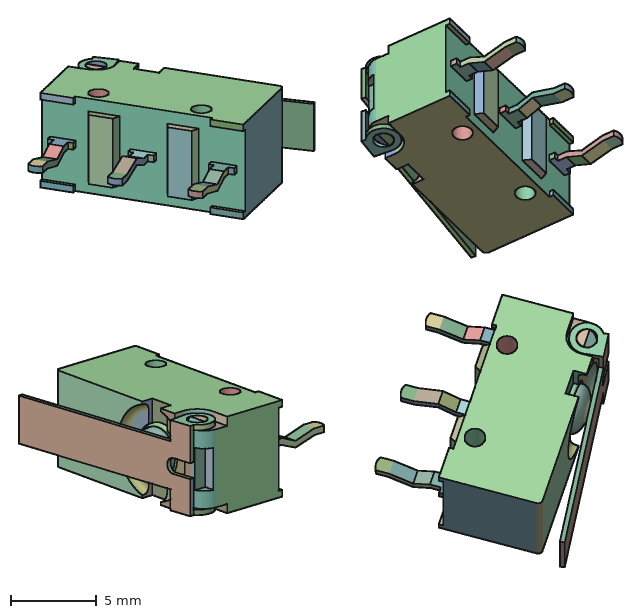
import cadquery as cq
import math


HOUSING_LENGTH = 12.81
HOUSING_TOP = 6.27
HOUSING_WIDTH = 6.0
HALF_WIDTH = HOUSING_WIDTH / 2
LEFT_CORNER_RADIUS = 1.04
RIGHT_CORNER_RADIUS = 0.28
MIDDLE_X = HOUSING_LENGTH / 2

BASE_Y = 0.27
FOOT_LENGTH = 2.08
FOOT_THICKNESS = 0.42

MOUNT_HOLE_RADIUS = 0.6
MOUNT_HOLE_SPACING = 6.49
MOUNT_HOLE_Y = 1.25

RIB_WIDTH = 2.0
RIB_HEIGHT = 0.5
RIB_INSET = 0.25
RIB_LENGTH = 4.38
RIB_SPACING = 4.98

CORNER_POCKET_X = 0.73
CORNER_POCKET_Y = 5.4
CORNER_POCKET_WIDTH = 2.62

TERMINAL_PITCH = 5.08
TERMINAL_THICKNESS = 0.42
SHOULDER_WIDTH = 1.62
SHOULDER_Y = -0.14
STEM_WIDTH = 0.92
STEM_SHIFTS = (0.03, -0.03, -0.03)
BEND_DIRECTIONS = (-1, 1, -1)
KINK_START_Y = -0.77
KINK_PEAK_Y = -1.83
KINK_END_Y = -3.32
KINK_OFFSET = 0.42
KINK_MITRE = 0.03
TIP_CORNER_Y = -4.1
TIP_Y = -4.24

PIVOT_X = 1.27
PIVOT_Y = 5.55
PIVOT_RADIUS = 0.59
PIVOT_SLOPE_DEPTH = 0.3
EAR_RECESS_RADIUS = 1.2
EAR_RECESS_DEPTH = 0.58

LEVER_ANGLE = 5.9
LEVER_END_X = 14.08
LEVER_THICKNESS = 0.3
LEVER_TOP = 1.2
LEVER_BACK = 0.52
LEVER_WIDTH = 5.6
TONGUE_WIDTH = 2.98
EAR_RADIUS = 1.04
EAR_HOLE_RADIUS = 0.62
EAR_THICKNESS = 0.34
SLOT_WIDTH = 0.99
SLOT_END = 1.3

PLUNGER_X = 4.48
FLANGE_RADIUS = 1.69
FLANGE_FILLET = 0.15
FLANGE_TOP = HOUSING_TOP - 0.5
WINDOW_WIDTH = 1.6
WINDOW_FLOOR = HOUSING_TOP - 0.8
DOME_RADIUS = 1.52
DOME_HEIGHT = 0.76
DOME_CENTER_Y = HOUSING_TOP - 0.38
TIP_FOOT_Y = HOUSING_TOP + 0.27
TIP_RADIUS = 0.63
TIP_BASE_Y = HOUSING_TOP + 0.38
TIP_TOP_Y = HOUSING_TOP + 0.5
BOWL_RADIUS = 2.93
BOWL_FILLET = 0.42


def block(x_start, x_end, y_start, y_end, z_start, z_end):
    """Plain box between two opposite corners."""
    size = (x_end - x_start, y_end - y_start, z_end - z_start)
    return cq.Workplane("XY").box(*size, centered=False).translate((x_start, y_start, z_start))


def mirrored(shape):
    """The shape together with its copy on the other side of the middle plane."""
    return shape.union(shape.mirror("XY"))


def y_cylinder(radius, y_start, y_end):
    """Cylinder on the plunger axis."""
    return (
        cq.Workplane("XZ", origin=(PLUNGER_X, y_start, 0))
        .circle(radius)
        .extrude(y_start - y_end)
    )


def housing_body():
    """Main block with its rounded top corners and mounting holes."""
    body = block(0, HOUSING_LENGTH, BASE_Y, HOUSING_TOP, -HALF_WIDTH, HALF_WIDTH)
    body = body.edges("|Z and <X and >Y").fillet(LEFT_CORNER_RADIUS)
    body = body.edges("|Z and >X and >Y").fillet(RIGHT_CORNER_RADIUS)
    for side in (-1, 1):
        hole_x = MIDDLE_X + side * MOUNT_HOLE_SPACING / 2
        hole = cq.Workplane("XY").center(hole_x, MOUNT_HOLE_Y).circle(MOUNT_HOLE_RADIUS)
        body = body.cut(hole.extrude(HALF_WIDTH, both=True))
    return body


def feet():
    """Four low feet in the corners of the underside."""
    inner_z = HALF_WIDTH - FOOT_THICKNESS
    left = block(0, FOOT_LENGTH, 0, BASE_Y, inner_z, HALF_WIDTH)
    right = left.translate((HOUSING_LENGTH - FOOT_LENGTH, 0, 0))
    return mirrored(left.union(right))


def rib(center_x):
    """Bar with sloped sides under the housing."""
    half_base = RIB_WIDTH / 2
    half_tip = half_base - RIB_INSET
    tip_y = BASE_Y - RIB_HEIGHT
    return (
        cq.Workplane("XY")
        .polyline([
            (center_x - half_base, BASE_Y),
            (center_x + half_base, BASE_Y),
            (center_x + half_tip, tip_y),
            (center_x - half_tip, tip_y),
        ])
        .close()
        .extrude(RIB_LENGTH / 2, both=True)
    )


def terminal(shoulder_x, stem_shift, bend):
    """Flat pin with a wide shoulder, a kinked stem and a rounded tip."""
    half_thickness = TERMINAL_THICKNESS / 2
    half_shoulder = SHOULDER_WIDTH / 2
    shoulder = block(
        shoulder_x - half_shoulder, shoulder_x + half_shoulder,
        SHOULDER_Y, BASE_Y, -half_thickness, half_thickness,
    )
    left = shoulder_x + stem_shift - STEM_WIDTH / 2
    right = left + STEM_WIDTH
    outline = (
        cq.Workplane("XY")
        .moveTo(left, BASE_Y)
        .lineTo(left, TIP_CORNER_Y)
        .threePointArc(((left + right) / 2, TIP_Y), (right, TIP_CORNER_Y))
        .lineTo(right, BASE_Y)
        .close()
        .extrude(KINK_OFFSET + TERMINAL_THICKNESS, both=True)
    )
    outer = bend * half_thickness
    inner = -outer
    shift = bend * KINK_OFFSET
    profile = (
        cq.Workplane("YZ", origin=(left, 0, 0))
        .polyline([
            (BASE_Y, outer),
            (KINK_START_Y + KINK_MITRE, outer),
            (KINK_PEAK_Y, outer + shift),
            (KINK_END_Y - KINK_MITRE, outer),
            (TIP_Y, outer),
            (TIP_Y, inner),
            (KINK_END_Y + KINK_MITRE, inner),
            (KINK_PEAK_Y, inner + shift),
            (KINK_START_Y - KINK_MITRE, inner),
            (BASE_Y, inner),
        ])
        .close()
        .extrude(STEM_WIDTH)
    )
    return shoulder.union(profile.intersect(outline))


def ear_recess():
    """Recess for the upper lever ear, open to the left and to the top."""
    floor_z = HALF_WIDTH - EAR_RECESS_DEPTH
    return (
        cq.Workplane("XY", origin=(0, 0, floor_z))
        .moveTo(0, HOUSING_TOP)
        .lineTo(PIVOT_X + EAR_RECESS_RADIUS, HOUSING_TOP)
        .lineTo(PIVOT_X + EAR_RECESS_RADIUS, PIVOT_Y)
        .radiusArc((PIVOT_X, PIVOT_Y - EAR_RECESS_RADIUS), EAR_RECESS_RADIUS)
        .lineTo(0, PIVOT_Y - EAR_RECESS_RADIUS)
        .close()
        .extrude(EAR_RECESS_DEPTH)
    )


def pivot():
    """Upper pivot stub, flush with the ear, its half towards +Y sloped as a lead-in."""
    floor_z = HALF_WIDTH - EAR_RECESS_DEPTH
    end_z = LEVER_WIDTH / 2
    stub = (
        cq.Workplane("XY", origin=(PIVOT_X, PIVOT_Y, floor_z))
        .circle(PIVOT_RADIUS)
        .extrude(end_z - floor_z)
    )
    slope = (
        cq.Workplane("YZ")
        .polyline([
            (PIVOT_Y, end_z),
            (PIVOT_Y + PIVOT_RADIUS, end_z - PIVOT_SLOPE_DEPTH),
            (PIVOT_Y + PIVOT_RADIUS, end_z),
        ])
        .close()
        .extrude(PIVOT_X + PIVOT_RADIUS)
    )
    return stub.cut(slope)


def plunger_seat():
    """Round bowl in the top, with the side windows and the pocket of the plunger flange."""
    bowl = y_cylinder(BOWL_RADIUS, FLANGE_TOP, HOUSING_TOP).faces("<Y").edges().fillet(BOWL_FILLET)
    pocket = y_cylinder(FLANGE_RADIUS, WINDOW_FLOOR, HOUSING_TOP)
    half_window = WINDOW_WIDTH / 2
    windows = block(
        PLUNGER_X - half_window, PLUNGER_X + half_window,
        WINDOW_FLOOR, HOUSING_TOP, -HALF_WIDTH, HALF_WIDTH,
    )
    return bowl.union(pocket).union(windows)


def make_housing():
    """Housing with its feet, ribs, pivots and terminals."""
    half_pocket = CORNER_POCKET_WIDTH / 2
    corner_pocket = block(
        0, CORNER_POCKET_X, CORNER_POCKET_Y, HOUSING_TOP, -half_pocket, half_pocket,
    )
    body = housing_body().union(feet())
    body = body.cut(mirrored(ear_recess())).cut(corner_pocket).cut(plunger_seat())
    body = body.union(mirrored(pivot()))
    for side in (-1, 1):
        body = body.union(rib(MIDDLE_X + side * RIB_SPACING / 2))
    for index, (stem_shift, bend) in enumerate(zip(STEM_SHIFTS, BEND_DIRECTIONS)):
        shoulder_x = MIDDLE_X + (index - 1) * TERMINAL_PITCH
        body = body.union(terminal(shoulder_x, stem_shift, bend))
    return body


def lever_ear():
    """Upper ear of the lever, with the pivot centre at the origin."""
    back_y = math.sqrt(EAR_RADIUS ** 2 - LEVER_BACK ** 2)
    return (
        cq.Workplane("XY", origin=(0, 0, LEVER_WIDTH / 2 - EAR_THICKNESS))
        .moveTo(EAR_RADIUS, LEVER_TOP)
        .lineTo(-LEVER_BACK, LEVER_TOP)
        .lineTo(-LEVER_BACK, back_y)
        .radiusArc((-EAR_RADIUS, 0), -EAR_RADIUS)
        .threePointArc((0, -EAR_RADIUS), (EAR_RADIUS, 0))
        .close()
        .moveTo(0, 0)
        .circle(EAR_HOLE_RADIUS)
        .extrude(EAR_THICKNESS)
    )


def make_lever():
    """Lever plate with two ears, tilted about the pivot."""
    half_width = LEVER_WIDTH / 2
    half_tongue = TONGUE_WIDTH / 2
    half_slot = SLOT_WIDTH / 2
    bottom = LEVER_TOP - LEVER_THICKNESS
    tilt = math.radians(LEVER_ANGLE)
    length = (LEVER_END_X - PIVOT_X + bottom * math.sin(tilt)) / math.cos(tilt)
    plate = block(-LEVER_BACK, EAR_RADIUS, bottom, LEVER_TOP, -half_width, half_width)
    tongue = block(EAR_RADIUS, length, bottom, LEVER_TOP, -half_tongue, half_tongue)
    slot_center = SLOT_END - half_slot
    slot = block(-LEVER_BACK, slot_center, bottom, LEVER_TOP, -half_slot, half_slot)
    slot_end = (
        cq.Workplane("XZ", origin=(slot_center, bottom, 0))
        .circle(half_slot)
        .extrude(-LEVER_THICKNESS)
    )
    lever = plate.union(tongue).cut(slot).cut(slot_end).union(mirrored(lever_ear()))
    return lever.rotate((0, 0, 0), (0, 0, 1), LEVER_ANGLE).translate((PIVOT_X, PIVOT_Y, 0))


def make_plunger():
    """Round plunger: flange, bulging elliptical dome and a small domed tip under the lever."""
    fillet_middle = FLANGE_FILLET * (1 - math.sqrt(0.5))
    start_angle = math.asin((FLANGE_TOP - DOME_CENTER_Y) / DOME_HEIGHT)
    end_angle = math.asin((TIP_FOOT_Y - DOME_CENTER_Y) / DOME_HEIGHT)
    tip_height = TIP_TOP_Y - TIP_BASE_Y
    tip_sphere_radius = (TIP_RADIUS ** 2 + tip_height ** 2) / (2 * tip_height)
    half_profile = (
        cq.Workplane("XY", origin=(PLUNGER_X, 0, 0))
        .moveTo(0, WINDOW_FLOOR)
        .lineTo(FLANGE_RADIUS, WINDOW_FLOOR)
        .lineTo(FLANGE_RADIUS, FLANGE_TOP - FLANGE_FILLET)
        .threePointArc(
            (FLANGE_RADIUS - fillet_middle, FLANGE_TOP - fillet_middle),
            (FLANGE_RADIUS - FLANGE_FILLET, FLANGE_TOP),
        )
        .lineTo(DOME_RADIUS * math.cos(start_angle), FLANGE_TOP)
        .ellipseArc(DOME_RADIUS, DOME_HEIGHT, math.degrees(start_angle), math.degrees(end_angle))
        .lineTo(TIP_RADIUS, TIP_BASE_Y)
        .radiusArc((0, TIP_TOP_Y), -tip_sphere_radius)
        .close()
    )
    return half_profile.revolve(360, (0, 0), (0, 1))


housing = make_housing()
lever = make_lever()
plunger = make_plunger()

result = cq.Compound.makeCompound([body.solids().val() for body in (housing, lever, plunger)])